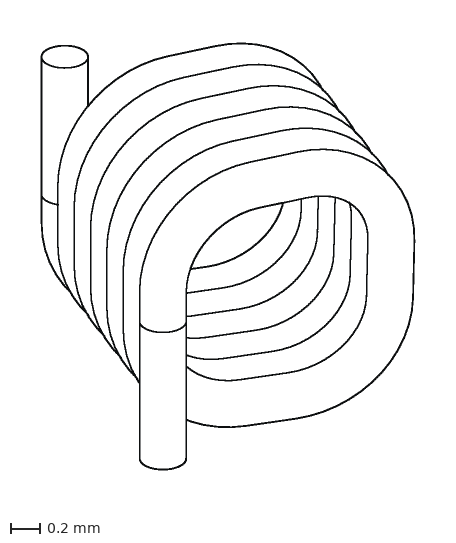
import cadquery as cq
import math

overall_length = 2.24
overall_depth = 2.03
overall_height = 2.13
wire_diameter = 0.318
bend_radius = 0.68
turn_count = 6

pitch = (overall_length - wire_diameter) / turn_count
climbing_sides = 3
side_advance = pitch / climbing_sides
wire_radius = wire_diameter / 2
half_span = turn_count * pitch / 2
half_depth = (overall_depth - wire_diameter) / 2
half_height = (overall_height - wire_diameter) / 2
lead_length = overall_height / 2

coil_start = cq.Vector(-half_span, -half_depth, 0)
coil_end = cq.Vector(half_span, -half_depth, 0)


def turn_corners(turn):
    """Sharp corners of one turn: down the front, back, up and forward again."""
    x = -half_span + turn * pitch
    return [
        cq.Vector(x, -half_depth, -half_height),
        cq.Vector(x + side_advance, half_depth, -half_height),
        cq.Vector(x + 2 * side_advance, half_depth, half_height),
        cq.Vector(x + pitch, -half_depth, half_height),
    ]


def bend_points(before, corner, after):
    """Start, middle and end of the bend arc that rounds a corner."""
    back = (before - corner).normalized()
    ahead = (after - corner).normalized()
    half_angle = back.getAngle(ahead) / 2
    setback = bend_radius / math.tan(half_angle)
    start = corner + back * setback
    end = corner + ahead * setback
    inward = (back + ahead).normalized()
    middle = corner + inward * (bend_radius / math.sin(half_angle) - bend_radius)
    return start, middle, end


def coil_centreline():
    """Straight sides joined by tangent bend arcs."""
    corners = [corner for turn in range(turn_count) for corner in turn_corners(turn)]
    route = [coil_start, *corners, coil_end]
    edges = []
    position = coil_start
    for before, corner, after in zip(route, route[1:], route[2:]):
        start, middle, end = bend_points(before, corner, after)
        edges.append(cq.Edge.makeLine(position, start))
        edges.append(cq.Edge.makeThreePointArc(start, middle, end))
        position = end
    edges.append(cq.Edge.makeLine(position, coil_end))
    return cq.Wire.assembleEdges(edges)


def make_coil():
    """Round wire wound into close turns with a rounded rectangular outline."""
    profile = cq.Workplane("XY", origin=coil_start.toTuple()).circle(wire_radius)
    return profile.sweep(cq.Workplane(coil_centreline()))


def make_lead(end_point, direction):
    """Straight wire from a coil end, up (direction 1) or down (direction -1)."""
    section = cq.Workplane("XY", origin=end_point.toTuple()).circle(wire_radius)
    return section.extrude(direction * lead_length)


coil = make_coil()
lead_layout = [(coil_start, 1), (coil_end, -1)]
leads = [make_lead(end_point, direction) for end_point, direction in lead_layout]

result = cq.Compound.makeCompound([coil.val(), *[lead.val() for lead in leads]])